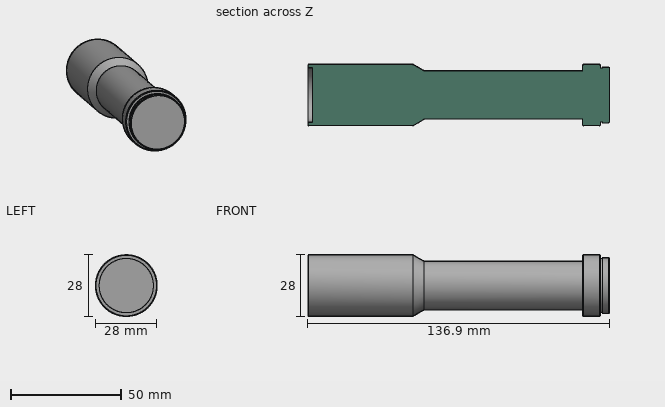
import cadquery as cq
import math

total_length = 136.9
grip_length = 47.6
collar_start = 124.6
collar_length = 8.2
groove_width = 0.8
recess_depth = 2.0

grip_diameter = 28.0
neck_radius = 11.1
spigot_radius = 12.7
groove_radius = 12.3
recess_radius = 12.3

edge_chamfer = 0.4
grip_edge_chamfer = 0.3
taper_angle = math.radians(30)

grip_radius = grip_diameter / 2
taper_length = (grip_radius - neck_radius) / math.tan(taper_angle)
collar_end = collar_start + collar_length
spigot_start = collar_end + groove_width


def cylinder(start, end, radius):
    """Solid cylinder along X between two stations."""
    return cq.Workplane("YZ", origin=(start, 0, 0)).circle(radius).extrude(end - start)


def make_grip():
    """Wide grip with a conical shoulder down to the neck, a chamfered end rim and a shallow end recess."""
    profile = [
        (0, 0),
        (0, grip_radius - grip_edge_chamfer),
        (grip_edge_chamfer, grip_radius),
        (grip_length, grip_radius),
        (grip_length + taper_length, neck_radius),
        (grip_length + taper_length, 0),
    ]
    grip = cq.Workplane("XY").polyline(profile).close().revolve(360, (0, 0, 0), (1, 0, 0))
    return grip.cut(cylinder(0, recess_depth, recess_radius))


def make_collar():
    """Collar with both rims chamfered."""
    return cylinder(collar_start, collar_end, grip_radius).faces("<X or >X").chamfer(edge_chamfer)


def make_spigot():
    """End disc with a chamfered outer rim."""
    return cylinder(spigot_start, total_length, spigot_radius).faces(">X").chamfer(edge_chamfer)


neck = cylinder(grip_length + taper_length, collar_start, neck_radius)
groove = cylinder(collar_end, spigot_start, groove_radius)

result = make_grip().union(neck).union(make_collar()).union(groove).union(make_spigot())